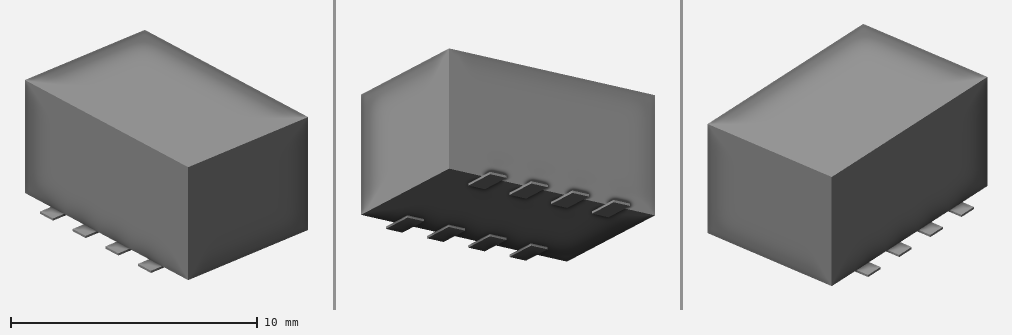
import cadquery as cq

housing_length = 10.0
housing_width = 6.5
housing_height = 5.2

terminals_per_side = 4
terminal_pitch = 2.0
terminal_width = 0.8
terminal_length = 1.6
terminal_thickness = 0.1
span_over_terminals = 7.7

terminal_center_y = (span_over_terminals - terminal_length) / 2


def make_housing():
    """Plain block resting on top of the terminals."""
    return (
        cq.Workplane("XY")
        .workplane(offset=terminal_thickness)
        .rect(housing_length, housing_width)
        .extrude(housing_height)
    )


def make_terminal(center_x, center_y):
    """Flat strip with its underside at Z = 0."""
    return (
        cq.Workplane("XY")
        .center(center_x, center_y)
        .rect(terminal_width, terminal_length)
        .extrude(terminal_thickness)
    )


housing = make_housing()

first_terminal_x = -terminal_pitch * (terminals_per_side - 1) / 2
terminals = []
for side in (-1, 1):
    for index in range(terminals_per_side):
        center_x = first_terminal_x + index * terminal_pitch
        terminals.append(make_terminal(center_x, side * terminal_center_y).val())

result = cq.Compound.makeCompound([housing.val(), *terminals])